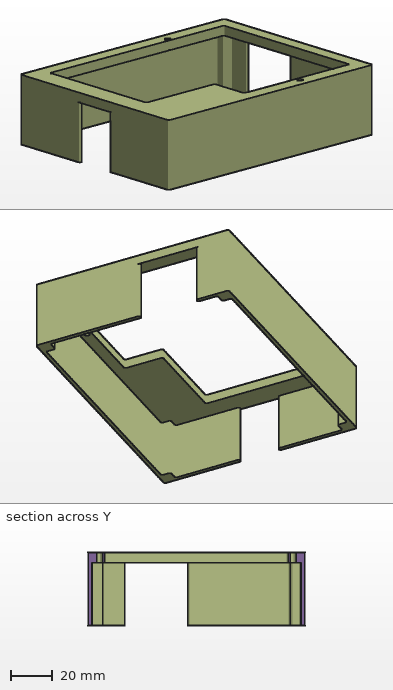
import cadquery as cq

length_x = 103.8
length_y = 134.0
height = 35.0
plate_thickness = 5.0
wall_thickness = 2.0
wall_height = height - plate_thickness
corner_radius = 1.0

window_left = 8.0
window_right = length_x - 8.0
window_front = 12.0
window_back = length_y - 7.8
step_x = 75.3
step_y = 57.0
window_radius = 1.0

post_size = 7.0

front_gap_left = 41.7
front_gap_right = 62.5
back_gap_left = 17.7
back_gap_right = 47.7

hole_diameter = 2.8
hole_inset = 5.6
hole_y = length_y - 42.5


def box_from_corner(x, y, size_x, size_y, size_z):
    """Box standing on Z = 0 with its lowest corner at (x, y)."""
    return cq.Workplane("XY").box(size_x, size_y, size_z, centered=False).translate((x, y, 0))


def make_body():
    """Solid block hollowed from below, leaving walls, plate and corner posts."""
    block = box_from_corner(0, 0, length_x, length_y, height).edges("|Z").fillet(corner_radius)
    cavity = box_from_corner(
        wall_thickness,
        wall_thickness,
        length_x - 2 * wall_thickness,
        length_y - 2 * wall_thickness,
        wall_height,
    )
    for x in (0, length_x - post_size):
        for y in (0, length_y - post_size):
            cavity = cavity.cut(box_from_corner(x, y, post_size, post_size, wall_height))
    cavity = cavity.edges("|Z").fillet(corner_radius)
    return block.cut(cavity)


def make_window():
    """Stepped opening with rounded corners."""
    outline = [
        (window_left, window_front),
        (step_x, window_front),
        (step_x, step_y),
        (window_right, step_y),
        (window_right, window_back),
        (window_left, window_back),
    ]
    return cq.Workplane("XY").polyline(outline).close().extrude(height).edges("|Z").fillet(window_radius)


def cut_wall_gap(body, left, right, wall_y):
    """Open a wall below the plate and round both wall ends over the full thickness."""
    end_radius = wall_thickness / 2
    gap_start = left - end_radius
    gap_width = right - left + wall_thickness
    gap = box_from_corner(gap_start, wall_y, gap_width, wall_thickness, wall_height)
    end_centers = [(x, wall_y + end_radius) for x in (gap_start, gap_start + gap_width)]
    ends = cq.Workplane("XY").pushPoints(end_centers).circle(end_radius).extrude(wall_height)
    return body.cut(gap).union(ends)


def make_holes():
    """Screw holes on both long sides of the window."""
    centers = [(hole_inset, hole_y), (length_x - hole_inset, hole_y)]
    return cq.Workplane("XY").pushPoints(centers).circle(hole_diameter / 2).extrude(height)


result = make_body().cut(make_window()).cut(make_holes())
result = cut_wall_gap(result, front_gap_left, front_gap_right, 0)
result = cut_wall_gap(result, back_gap_left, back_gap_right, length_y - wall_thickness)